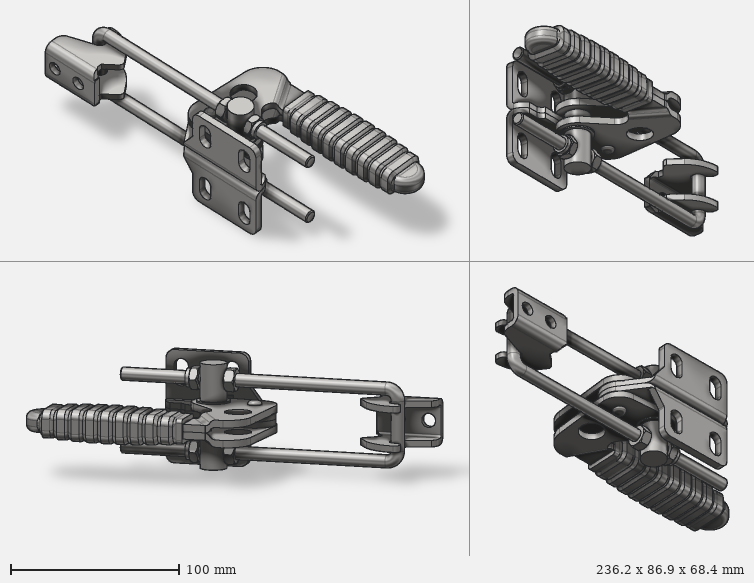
import cadquery as cq
import math


web_thickness = 3.8
flange_thickness = 4.7
lever_thickness = 4.5
reach = 94.5

rivet_x = 108.6
rivet_y = 27.2
rivet_radius = 4.3
rivet_half_length = 10.6
rivet_rounding = 2.1

trunnion_x = 134.8
trunnion_y = 25.3
trunnion_radius = 8.0
trunnion_half_length = 31.9

rod_radius = 4.0
rod_z = 22.0
rod_bend_radius = 6.8
rod_left_x = 20.3
rod_right_x = 191.8
rod_chamfer = 0.7

base_right_x = 170.7
base_half_width = 34.2
base_toe_x = 112.2
base_bend_radius = 5.5
base_nose_radius = 12.8
flange_left_x = 119.5
flange_corner = 5.2
flange_taper_z = 14.9
flange_taper_rounding = 1.2
web_top_y = 17.0

grip_axis_y = 72.0
grip_left_x = 136.5
grip_right_x = 236.2


def mirrored(half):
    """The same body on the other side of Z = 0."""
    return half.mirror("XY")


def plate(outline, z_from, z_to):
    """A flat plate with its outline in XY."""
    return outline.extrude(z_to - z_from).translate((0, 0, z_from))


def rod_along_z(x, y, radius, z_from, z_to):
    """A round bar along Z, also used as a drill."""
    return plate(cq.Workplane("XY").center(x, y).circle(radius), z_from, z_to)


def bar_along_x(x_from, x_to, radius, z):
    """A round bar along X at the height of the trunnion axis, also used as a drill."""
    circle = cq.Workplane("YZ").center(trunnion_y, z).circle(radius)
    return circle.extrude(x_to - x_from).translate((x_from, 0, 0))


def along_y(outline, y_from, y_to):
    """Extrude an XZ-plane outline along +Y."""
    return outline.extrude(y_from - y_to).translate((0, y_from, 0))


slot_width = 9.0
slot_length = 16.5
slot_z = 20.8
slot_xs = (129.7, 161.3)
stop_x = 129.7
stop_y = 9.2
stop_radius = 2.1
stop_bore_radius = 1.7
stop_height = 9.2


def base_sheet():
    """L-shaped bent sheet along X, before its outline is trimmed."""
    inner_radius = base_bend_radius - flange_thickness
    top = rivet_y + base_nose_radius
    section = (
        cq.Workplane("YZ")
        .moveTo(0, base_half_width)
        .lineTo(0, base_bend_radius)
        .radiusArc((base_bend_radius, 0), -base_bend_radius)
        .lineTo(top, 0)
        .lineTo(top, web_thickness)
        .lineTo(flange_thickness + inner_radius, web_thickness)
        .lineTo(flange_thickness, web_thickness + inner_radius)
        .lineTo(flange_thickness, base_half_width)
        .close()
    )
    return section.extrude(base_right_x)


def base_side_outline():
    """Web outline: a round nose about the rivet, tangent to the toe, and a low back under the trunnion."""
    nose_run = math.sqrt(base_nose_radius**2 - (rivet_y - web_top_y) ** 2)
    toe_distance = math.hypot(base_toe_x - rivet_x, rivet_y)
    toe_angle = math.atan2(-rivet_y, base_toe_x - rivet_x)
    tangent_angle = toe_angle - math.acos(base_nose_radius / toe_distance)
    nose_left = (
        rivet_x + base_nose_radius * math.cos(tangent_angle),
        rivet_y + base_nose_radius * math.sin(tangent_angle),
    )
    return (
        cq.Workplane("XY")
        .moveTo(base_toe_x, 0)
        .lineTo(*nose_left)
        .threePointArc((rivet_x, rivet_y + base_nose_radius), (rivet_x + nose_run, web_top_y))
        .lineTo(155.2, web_top_y)
        .threePointArc((156.3, 14.9), (158.7, 13.5))
        .lineTo(165.5, 13.5)
        .threePointArc((168.6, 10.5), (base_right_x, 5.5))
        .lineTo(base_right_x, 0)
        .close()
    )


def flange_blank():
    """Block with the XZ outline of the flange, tapered towards the rivet end."""
    outline = (
        cq.Workplane("XZ")
        .moveTo(0, 0)
        .lineTo(0, web_thickness)
        .lineTo(111.0, web_thickness)
        .lineTo(flange_left_x, flange_taper_z)
        .lineTo(flange_left_x, base_half_width)
        .lineTo(base_right_x, base_half_width)
        .lineTo(base_right_x, 0)
        .close()
    )
    corners = cq.selectors.BoxSelector(
        (flange_left_x - 2.4, -reach, base_half_width - 2.4),
        (base_right_x + 2.4, reach, base_half_width + 2.4),
    )
    blank = along_y(outline, 0, reach).edges("|Y").edges(corners).fillet(flange_corner)
    taper_end = cq.selectors.NearestToPointSelector((flange_left_x, reach / 2, flange_taper_z))
    return blank.edges("|Y").edges(taper_end).fillet(flange_taper_rounding)


def base_half():
    half = base_sheet()
    half = half.intersect(plate(base_side_outline(), 0, reach))
    half = half.intersect(flange_blank())
    slots = (
        cq.Workplane("XZ")
        .pushPoints([(x, slot_z) for x in slot_xs])
        .slot2D(slot_length, slot_width, 90)
    )
    half = half.cut(along_y(slots, 0, reach))
    half = half.union(rod_along_z(stop_x, stop_y, stop_radius, 0, stop_height))
    half = half.cut(rod_along_z(stop_x, stop_y, stop_bore_radius, 0, stop_height))
    return half.cut(rod_along_z(rivet_x, rivet_y, rivet_radius, 0, reach))


lever_end_radius = 13.2
lever_hole = (111.0, 53.5)
lever_hole_radius = 8.0
tang_bottom_y = 61.6
tang_top_y = 81.7
tang_right_x = 212.5
joggle_start = (115.5, 83.0)
joggle_direction = (0.86, 0.51)
joggle_run = 6.1


def lever_side_outline():
    """Lever outline: equal round ends about the rivet and the trunnion, joined by a tangent edge."""
    slope = math.atan2(trunnion_y - rivet_y, trunnion_x - rivet_x)
    down_x = lever_end_radius * math.sin(slope)
    down_y = -lever_end_radius * math.cos(slope)
    diagonal = lever_end_radius * math.sqrt(0.5)
    return (
        cq.Workplane("XY")
        .moveTo(rivet_x - lever_end_radius, rivet_y)
        .lineTo(98.5, 68.5)
        .threePointArc((102.5, 77.5), (111.5, 82.5))
        .lineTo(122.3, 82.5)
        .lineTo(122.5, tang_top_y)
        .lineTo(tang_right_x, tang_top_y)
        .lineTo(tang_right_x, tang_bottom_y)
        .lineTo(134.5, tang_bottom_y)
        .threePointArc((127.5, 56.2), (129.7, 49.1))
        .lineTo(144.5, 34.5)
        .threePointArc(
            (trunnion_x + lever_end_radius, trunnion_y),
            (trunnion_x + down_x, trunnion_y + down_y),
        )
        .lineTo(rivet_x + down_x, rivet_y + down_y)
        .threePointArc(
            (rivet_x - diagonal, rivet_y - diagonal), (rivet_x - lever_end_radius, rivet_y)
        )
        .close()
    )


def lever_sheet():
    """Sheet stepped towards Z = 0 by one web thickness, through an S-bend of two equal arcs."""
    top = web_thickness + lever_thickness
    half_step = web_thickness / 2
    across = cq.Plane(
        origin=(*joggle_start, 0),
        xDir=(*joggle_direction, 0),
        normal=(joggle_direction[1], -joggle_direction[0], 0),
    )
    section = (
        cq.Workplane(across)
        .moveTo(-reach, web_thickness)
        .lineTo(-reach, top)
        .lineTo(0, top)
        .tangentArcPoint((joggle_run / 2, -half_step))
        .tangentArcPoint((joggle_run / 2, -half_step))
        .lineTo(reach, lever_thickness)
        .lineTo(reach, 0)
        .lineTo(joggle_run, 0)
        .tangentArcPoint((-joggle_run / 2, half_step))
        .tangentArcPoint((-joggle_run / 2, half_step))
        .close()
    )
    return section.extrude(reach, both=True)


def lever_half():
    half = lever_sheet().intersect(plate(lever_side_outline(), 0, reach))
    half = half.cut(rod_along_z(*lever_hole, lever_hole_radius, 0, reach))
    half = half.cut(rod_along_z(rivet_x, rivet_y, rivet_radius, 0, reach))
    return half.cut(rod_along_z(trunnion_x, trunnion_y, trunnion_radius, 0, reach))


rib_pitch = 9.2
rib_count = 9
rib_first_groove_x = 142.2
groove_half_width = 2.1
groove_depth = 1.0
grip_half_height = 14.9
grip_half_thickness = 10.0
grip_barrel_drop = 1.7
grip_corner = 5.2
sleeve_right_x = 140.3
sleeve_corner = 2.4
sleeve_flare = 0.2
sleeve_half_height = 11.5
sleeve_half_thickness = 7.5
neck_x = 224.8
neck_half_height = 12.3
neck_half_thickness = 6.1
barrel_right_x = 226.5
tip_radius = 11.3
tip_half_thickness = 6.0
tip_rounding = 4.0


def grip_section(x, half_height, half_thickness, corner=grip_corner):
    """Rounded rectangle across the grip at x."""
    outline = cq.Sketch().rect(2 * half_height, 2 * half_thickness).vertices().fillet(corner)
    return outline.moved(cq.Location(cq.Vector(grip_axis_y, 0, x)))


def grip():
    mid_x = rib_first_groove_x + rib_count * rib_pitch / 2
    half_span = mid_x - rib_first_groove_x

    def barrel_section(x, station, inset):
        drop = grip_barrel_drop * ((station - mid_x) / half_span) ** 2 + inset
        return grip_section(x, grip_half_height - drop, grip_half_thickness - drop)

    sections = [
        grip_section(x, sleeve_half_height, sleeve_half_thickness, sleeve_corner)
        for x in (grip_left_x, sleeve_right_x)
    ]
    sections.append(grip_section(
        rib_first_groove_x, sleeve_half_height + sleeve_flare, sleeve_half_thickness + sleeve_flare
    ))
    for index in range(rib_count):
        start = rib_first_groove_x + index * rib_pitch
        end = start + rib_pitch
        middle = (start + end) / 2
        sections.append(barrel_section(start + groove_half_width, middle, 0))
        sections.append(barrel_section(end - groove_half_width, middle, 0))
        if index < rib_count - 1:
            sections.append(barrel_section(end, end, groove_depth))
    tip_x = grip_right_x - tip_radius
    sections.append(grip_section(neck_x, neck_half_height, neck_half_thickness))
    sections.append(grip_section(barrel_right_x, tip_radius, tip_half_thickness))
    barrel = cq.Workplane("YZ").placeSketch(*sections).loft(ruled=True)
    tip = rod_along_z(tip_x, grip_axis_y, tip_radius, -tip_half_thickness, tip_half_thickness)
    return barrel.union(tip.edges("%CIRCLE").fillet(tip_rounding))


ring_radius = 10.2
ring_thickness = 1.0
ring_gap = 1.0
lug_radius = 1.5
lug_offset = 2.0
lug_hole_radius = 0.5


def trunnion():
    pin = rod_along_z(
        trunnion_x, trunnion_y, trunnion_radius, -trunnion_half_length, trunnion_half_length
    )
    ring_bottom = web_thickness + lever_thickness
    ring_top = ring_bottom + ring_thickness
    ring = rod_along_z(trunnion_x, trunnion_y, ring_radius, ring_bottom, ring_top)
    lug_y = trunnion_y - ring_radius
    for side in (-1, 1):
        lug_x = trunnion_x + side * lug_offset
        ring = ring.union(rod_along_z(lug_x, lug_y, lug_radius, ring_bottom, ring_top))
        ring = ring.cut(rod_along_z(lug_x, lug_y, lug_hole_radius, ring_bottom, ring_top))
    gap = cq.Workplane("XY").center(trunnion_x, lug_y).rect(ring_gap, ring_radius)
    ring = ring.cut(plate(gap, ring_bottom, ring_top))
    body = pin.union(ring).union(mirrored(ring))
    for side in (-1, 1):
        body = body.cut(bar_along_x(0, rod_right_x, rod_radius, side * rod_z))
    return body


nut_width = 13.0
nut_chamfer = 1.0
nut_thickness = 6.4
lock_nut_x = 143.0
lock_nut_thickness = 5.2
lock_collar_length = 2.5
lock_collar_radius = 5.7


def nut(x_from, thickness, z):
    """Hexagon nut with flats facing along Z."""
    corner_radius = nut_width / math.sqrt(3)
    hexagon = (
        cq.Workplane("YZ")
        .center(trunnion_y, z)
        .polygon(6, 2 * corner_radius)
        .extrude(thickness)
        .translate((x_from, 0, 0))
    )
    rounding = bar_along_x(x_from, x_from + thickness, corner_radius, z)
    return hexagon.intersect(rounding.edges().chamfer(nut_chamfer))


def u_bolt():
    bend_end_x = rod_left_x + rod_bend_radius
    bend_start_z = rod_z - rod_bend_radius
    diagonal = rod_bend_radius * math.sqrt(0.5)
    path = (
        cq.Workplane("XZ", origin=(0, trunnion_y, 0))
        .moveTo(rod_right_x, rod_z)
        .lineTo(bend_end_x, rod_z)
        .threePointArc(
            (bend_end_x - diagonal, bend_start_z + diagonal), (rod_left_x, bend_start_z)
        )
        .lineTo(rod_left_x, -bend_start_z)
        .threePointArc(
            (bend_end_x - diagonal, -bend_start_z - diagonal), (bend_end_x, -rod_z)
        )
        .lineTo(rod_right_x, -rod_z)
    )
    profile = cq.Workplane("YZ", origin=(rod_right_x, trunnion_y, rod_z)).circle(rod_radius)
    bolt = profile.sweep(path).faces(">X").edges().chamfer(rod_chamfer)
    nut_x = trunnion_x - trunnion_radius - nut_thickness
    collar_x = lock_nut_x + lock_nut_thickness
    for z in (-rod_z, rod_z):
        bolt = bolt.union(nut(nut_x, nut_thickness, z))
        bolt = bolt.union(nut(lock_nut_x, lock_nut_thickness, z))
        bolt = bolt.union(bar_along_x(collar_x, collar_x + lock_collar_length, lock_collar_radius, z))
    return bolt


catch_half_width = 14.0
catch_thickness = 4.0
catch_bend_radius = 5.7
catch_height = 38.5
catch_length = 40.1
catch_hole_radius = 4.3
seat_radius = 4.5
seat_offset = 0.5
catch_hole_xs = (7.8, 26.7)


def catch_side_outline():
    """Side outline: an open seat for the U-bolt under a rounded hook."""
    seat_x = rod_left_x + seat_offset
    return (
        cq.Workplane("XY")
        .moveTo(0, 0)
        .lineTo(0, 8.5)
        .threePointArc((0.7, 12.0), (2.8, 14.6))
        .lineTo(seat_x, trunnion_y - seat_radius)
        .threePointArc((seat_x + seat_radius, trunnion_y), (seat_x, trunnion_y + seat_radius))
        .threePointArc((17.5, 31.2), (16.3, 34.2))
        .threePointArc((17.0, 37.3), (19.4, catch_height))
        .threePointArc((30.2, 36.0), (38.7, 29.3))
        .lineTo(44.9, 20.5)
        .threePointArc((44.6, 18.7), (43.2, 16.8))
        .lineTo(35.7, 10.6)
        .lineTo(35.7, 7.0)
        .lineTo(39.2, catch_thickness)
        .lineTo(catch_length, catch_thickness)
        .lineTo(catch_length, 0)
        .close()
    )


def catch_plate():
    inner_half_width = catch_half_width - catch_thickness
    outer = (
        cq.Workplane("XY")
        .box(reach, catch_height, 2 * catch_half_width, centered=(True, False, True))
        .edges("|X and <Y")
        .fillet(catch_bend_radius)
    )
    inner = (
        cq.Workplane("XY")
        .box(reach, catch_height, 2 * inner_half_width, centered=(True, False, True))
        .edges("|X and <Y")
        .fillet(catch_bend_radius - catch_thickness)
        .translate((0, catch_thickness, 0))
    )
    channel = outer.cut(inner)
    body = channel.intersect(plate(catch_side_outline(), -reach, reach))
    holes = cq.Workplane("XZ").pushPoints([(x, 0) for x in catch_hole_xs]).circle(catch_hole_radius)
    body = body.cut(along_y(holes, 0, catch_thickness))
    notch = cq.Workplane("XZ").polyline([
        (36.8, catch_half_width),
        (39.5, inner_half_width),
        (catch_length, inner_half_width),
        (catch_length, catch_half_width),
    ]).close()
    notch = along_y(notch, 0, catch_bend_radius)
    return body.cut(notch).cut(mirrored(notch))


def rivet():
    pin = rod_along_z(rivet_x, rivet_y, rivet_radius, -rivet_half_length, rivet_half_length)
    return pin.faces("|Z").edges().fillet(rivet_rounding)


base_front = base_half()
base_back = mirrored(base_front)
lever_front = lever_half()
lever_back = mirrored(lever_front)
sleeve = grip().cut(lever_front).cut(lever_back)

result = cq.Compound.makeCompound([
    base_front.val(),
    base_back.val(),
    lever_front.val(),
    lever_back.val(),
    sleeve.val(),
    rivet().val(),
    trunnion().val(),
    u_bolt().val(),
    catch_plate().val(),
])